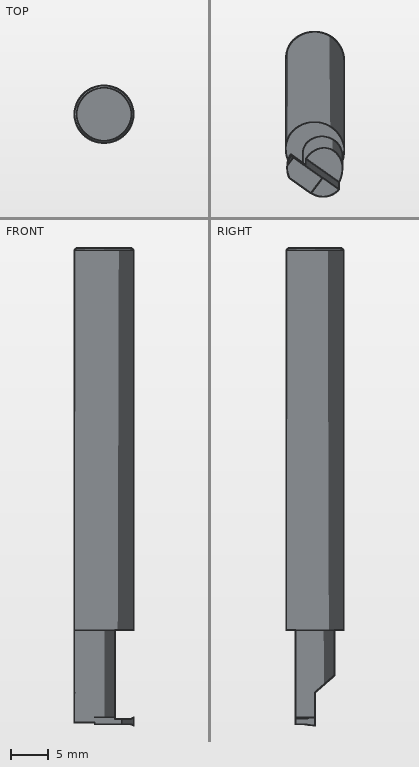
import cadquery as cq

length = 63.5
half_width = 3.97
arc_flattening = 0.1
shoulder_z = 12.7
chamfer = 0.3

neck_half_width = 2.7
neck_depth = neck_half_width - arc_flattening
neck_x = neck_half_width - half_width
neck_end_x = neck_x + neck_half_width
neck_bottom = 0.4

slope_low_z = 4.4
slope_high_z = 6.65

tip_x = half_width
heel_x = 2.35
blade_bottom = 0.16
blade_top = 0.9
tooth_height = 1.1
tooth_root_x = 3.55
flank_middle = (3.5, -1.5)


def two_arc_bar(center_x, bar_half_width, bottom, top):
    """Upright bar whose section is two slightly flattened half circles."""
    rise = bar_half_width - arc_flattening
    left = (center_x - bar_half_width, 0)
    right = (center_x + bar_half_width, 0)
    return (
        cq.Workplane("XY").workplane(offset=bottom)
        .moveTo(*left)
        .threePointArc((center_x, rise), right)
        .threePointArc((center_x, -rise), left)
        .close()
        .extrude(top - bottom)
    )


def make_shank():
    bar = two_arc_bar(0, half_width, shoulder_z, length)
    return bar.faces(">Z").chamfer(chamfer)


def make_neck():
    bar = two_arc_bar(neck_x, neck_half_width, neck_bottom, shoulder_z)
    rake_cut = (
        cq.Workplane("YZ").workplane(offset=-half_width)
        .moveTo(0, 0)
        .lineTo(0, slope_low_z)
        .lineTo(neck_depth, slope_high_z)
        .lineTo(neck_depth, 0)
        .close()
        .extrude(2 * half_width)
    )
    return bar.cut(rake_cut)


def make_head():
    """Blade profile in XZ trimmed to a plan with a rounded flank behind the tip."""
    profile = (
        cq.Workplane("XZ")
        .moveTo(neck_x, blade_bottom)
        .lineTo(tooth_root_x, blade_bottom)
        .lineTo(tip_x, 0)
        .lineTo(tip_x, tooth_height)
        .lineTo(tooth_root_x, blade_top)
        .lineTo(neck_end_x, blade_top)
        .lineTo(neck_end_x, tooth_height)
        .lineTo(neck_x, tooth_height)
        .close()
        .extrude(neck_depth)
    )
    plan = (
        cq.Workplane("XY")
        .moveTo(neck_x, 0)
        .lineTo(tip_x, 0)
        .threePointArc(flank_middle, (heel_x, -neck_depth))
        .lineTo(neck_x, -neck_depth)
        .close()
        .extrude(tooth_height)
    )
    return profile.intersect(plan)


result = make_shank().union(make_neck()).union(make_head())